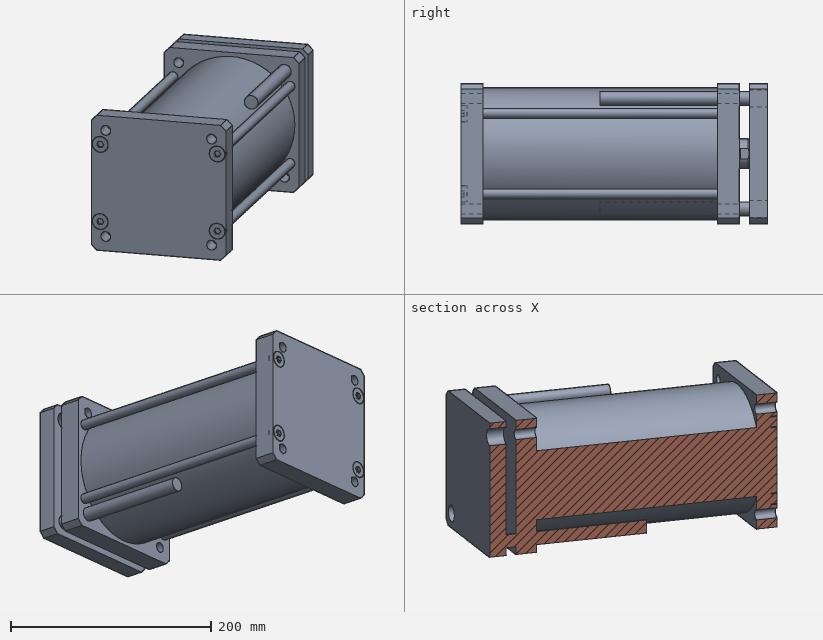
import cadquery as cq

length = 306.0
plate_side = 140.0
plate_corner_diameter = 190.3
cap_thickness = 22.0
block_thickness = 22.0
flange_thickness = 18.0
flange_gap = 10.0

flange_start = length - flange_thickness
block_end = flange_start - flange_gap
block_start = block_end - block_thickness

barrel_diameter = 132.0
tie_rod_diameter = 10.0
tie_rod_x = 61.0
tie_rod_z = 40.0
guide_rod_diameter = 14.0
guide_rod_length = 149.0
guide_rod_start = flange_start - guide_rod_length
corner_offset = 55.0

piston_rod_diameter = 30.0
piston_rod_chamfer = 1.2
wrench_flat_width = 28.0
wrench_flat_shoulder = 1.0
wrench_flat_start = block_end + wrench_flat_shoulder

corner_hole_diameter = 10.0
flange_hole_diameter = 17.0

screw_recess_diameter = 16.5
screw_head_diameter = 16.0
screw_recess_depth = 6.0
screw_socket_width = 7.0
screw_socket_depth = 3.0

tie_rod_places = [(x, z) for x in (-tie_rod_x, tie_rod_x) for z in (-tie_rod_z, tie_rod_z)]
guide_rod_places = [(-corner_offset, -corner_offset), (corner_offset, corner_offset)]
open_hole_places = [(-corner_offset, corner_offset), (corner_offset, -corner_offset)]


def plane_at(y):
    """Sketch plane across Y with local axes (X, Z); a negative extrusion runs toward +Y."""
    return cq.Workplane("XZ", origin=(0, y, 0))


def plate(start, thickness):
    """Square plate with its four corners turned to one large circle."""
    square = plane_at(start).rect(plate_side, plate_side).extrude(-thickness)
    return square.intersect(plane_at(start).circle(plate_corner_diameter / 2).extrude(-thickness))


def cylinders(places, diameter, start, end):
    """Equal cylinders parallel to Y at the given (x, z) places."""
    return plane_at(start).pushPoints(places).circle(diameter / 2).extrude(start - end)


def piston_rod():
    """Rod from guide block to flange, chamfered at the flange, with two flats facing X."""
    rod = cylinders([(0, 0)], piston_rod_diameter, block_end, flange_start)
    rod = rod.faces(">Y").chamfer(piston_rod_chamfer)
    round_base = cylinders([(0, 0)], piston_rod_diameter, block_end, wrench_flat_start)
    between_flats = plane_at(block_end).rect(wrench_flat_width, piston_rod_diameter).extrude(-flange_gap)
    return rod.intersect(between_flats.union(round_base))


def screw_clearance():
    """Ring gaps around the screw heads and the hexagon sockets inside them."""
    rings = plane_at(0).pushPoints(tie_rod_places).circle(screw_recess_diameter / 2)
    rings = rings.circle(screw_head_diameter / 2).extrude(-screw_recess_depth)
    sockets = plane_at(0).pushPoints(tie_rod_places)
    sockets = sockets.polygon(6, screw_socket_width).extrude(-screw_socket_depth)
    return rings.union(sockets)


result = plate(0, cap_thickness)
result = result.union(plate(block_start, block_thickness))
result = result.union(plate(flange_start, flange_thickness))
result = result.union(cylinders([(0, 0)], barrel_diameter, cap_thickness, block_start))
result = result.union(cylinders(tie_rod_places, tie_rod_diameter, cap_thickness, block_start))
result = result.cut(cylinders(guide_rod_places, corner_hole_diameter, 0, cap_thickness))
result = result.cut(cylinders(open_hole_places, corner_hole_diameter, 0, block_end))
result = result.cut(cylinders(open_hole_places, flange_hole_diameter, flange_start, length))
result = result.union(cylinders(guide_rod_places, guide_rod_diameter, guide_rod_start, flange_start))
result = result.union(piston_rod())
result = result.cut(screw_clearance())